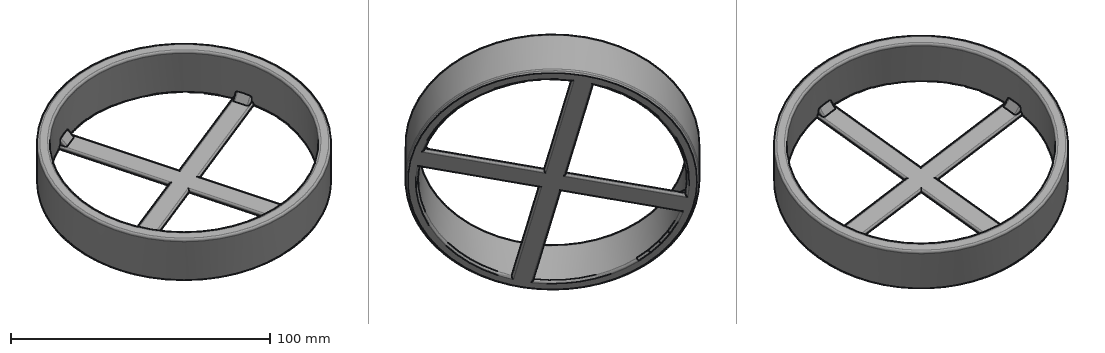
import cadquery as cq

outer_diameter = 113.5
bore_diameter = 103.5
ring_height = 22.0
edge_radius = 1.0
foot_chamfer = 1.0

bar_width = 8.6
bar_thickness = 2.0
bar_edge_radius = 0.8

gusset_width = bar_width - 2 * bar_edge_radius
gusset_leg = 3.0
gusset_edge_radius = bar_edge_radius
wall_overlap = 1.1

bore_radius = bore_diameter / 2
bar_length = bore_diameter + 4 * wall_overlap
arm_count = 4


def make_ring():
    """Ring with rounded edges, except for a blended chamfer on the lower outer edge."""
    smaller_circle = cq.selectors.RadiusNthSelector(0)
    larger_circle = cq.selectors.RadiusNthSelector(-1)
    ring = cq.Workplane("XY").circle(outer_diameter / 2).circle(bore_radius).extrude(ring_height)
    ring = ring.edges(smaller_circle).fillet(edge_radius)
    ring = ring.faces(">Z").edges(larger_circle).fillet(edge_radius)
    ring = ring.faces("<Z").edges(larger_circle).chamfer(foot_chamfer)
    return ring.faces("%CONE").edges(">Z").fillet(edge_radius)


def make_cross():
    """Two crossed bars with rounded upper and lower edges, ending inside the ring wall."""
    cross = cq.Workplane("XY").rect(bar_length, bar_width).extrude(bar_thickness)
    cross = cross.union(cq.Workplane("XY").rect(bar_width, bar_length).extrude(bar_thickness))
    cross = cross.faces(">Z or <Z").edges().fillet(bar_edge_radius)
    trim = cq.Workplane("XY").circle(bore_radius + wall_overlap).extrude(bar_thickness)
    return cross.intersect(trim)


def make_gusset():
    """Wedge on the +X arm, its sloping face rounded along both sides."""
    foot = bore_radius - gusset_leg
    back = bore_radius + wall_overlap
    back_height = bar_thickness + gusset_leg + wall_overlap
    slope = cq.Vector(1, 0, 1)
    wedge = (
        cq.Workplane("XZ")
        .moveTo(foot, bar_thickness)
        .lineTo(back, back_height)
        .lineTo(back, bar_thickness)
        .close()
        .extrude(gusset_width / 2, both=True)
    )
    return wedge.edges(cq.selectors.ParallelDirSelector(slope)).fillet(gusset_edge_radius)


result = make_ring().union(make_cross())
gusset = make_gusset()
for arm in range(arm_count):
    arm_angle = arm * 360 / arm_count
    result = result.union(gusset.rotate((0, 0, 0), (0, 0, 1), arm_angle))